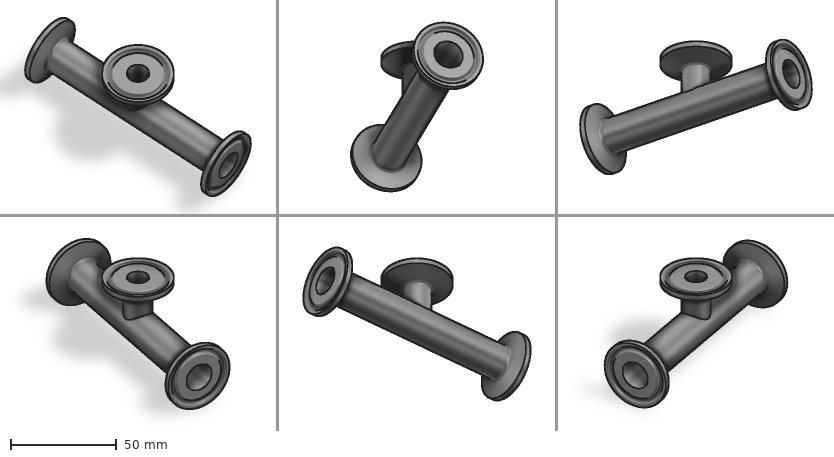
import cadquery as cq
import math

run_length = 110.0
overall_height = 43.1
ferrule_diameter = 34.0
ferrule_radius = ferrule_diameter / 2
branch_height = overall_height - ferrule_radius

run_outer_diameter = 17.3
run_bore_diameter = 14.0
branch_outer_diameter = 13.8
branch_bore_diameter = 10.5

rim_thickness = 2.9
clamp_angle = math.radians(20)
neck_fillet = 2.0

groove_center_radius = 13.8
groove_half_width = 1.92
groove_depth = 1.5
groove_lip_radius = 0.8


def ferruled_tube(length, tube_diameter):
    """Solid tube along +Z that starts with a clamp ferrule at Z = 0."""
    tube_radius = tube_diameter / 2

    cone_end_radius = tube_radius + neck_fillet * (1 - math.sin(clamp_angle))
    cone_end = rim_thickness + (ferrule_radius - cone_end_radius) * math.tan(clamp_angle)
    neck_end = cone_end + neck_fillet * math.cos(clamp_angle)
    middle_angle = (math.pi / 2 + clamp_angle) / 2
    neck_middle = (
        tube_radius + neck_fillet * (1 - math.sin(middle_angle)),
        neck_end - neck_fillet * math.cos(middle_angle),
    )
    return (
        cq.Workplane("XZ")
        .lineTo(ferrule_radius, 0)
        .lineTo(ferrule_radius, rim_thickness)
        .lineTo(cone_end_radius, cone_end)
        .threePointArc(neck_middle, (tube_radius, neck_end))
        .lineTo(tube_radius, length)
        .lineTo(0, length)
        .close()
        .revolve(360, (0, 0, 0), (0, 1, 0))
    )


def gasket_groove():
    """Ring cutter: a round-bottomed groove with rounded lips, in the face Z = 0."""
    arc_center_distance = (groove_half_width**2 + groove_depth**2) / (2 * groove_depth)
    bottom_radius = arc_center_distance - groove_lip_radius
    lip_angle = math.asin(groove_half_width / arc_center_distance)
    tangent_offset = bottom_radius * math.sin(lip_angle)
    tangent_depth = groove_lip_radius * (1 - math.cos(lip_angle))
    lip_middle_offset = groove_half_width - groove_lip_radius * math.sin(lip_angle / 2)
    lip_middle_depth = groove_lip_radius * (1 - math.cos(lip_angle / 2))

    center = groove_center_radius
    return (
        cq.Workplane("XZ")
        .moveTo(center - groove_half_width, 0)
        .threePointArc(
            (center - lip_middle_offset, lip_middle_depth),
            (center - tangent_offset, tangent_depth),
        )
        .threePointArc((center, groove_depth), (center + tangent_offset, tangent_depth))
        .threePointArc(
            (center + lip_middle_offset, lip_middle_depth),
            (center + groove_half_width, 0),
        )
        .close()
        .revolve(360, (0, 0, 0), (0, 1, 0))
    )


def place_on_left(shape):
    """Turn a shape built along +Z to run inward from the -X end."""
    return shape.rotate((0, 0, 0), (0, 1, 0), 90).translate((-run_length / 2, 0, 0))


def place_on_right(shape):
    """Turn a shape built along +Z to run inward from the +X end."""
    return shape.rotate((0, 0, 0), (0, 1, 0), -90).translate((run_length / 2, 0, 0))


def place_on_branch(shape):
    """Turn a shape built along +Z to run down from the branch end."""
    return shape.rotate((0, 0, 0), (1, 0, 0), 180).translate((0, 0, branch_height))


half_run = ferruled_tube(run_length / 2, run_outer_diameter)
branch = ferruled_tube(branch_height, branch_outer_diameter)
body = place_on_left(half_run).union(place_on_right(half_run)).union(place_on_branch(branch))

run_bore = cq.Workplane("YZ").circle(run_bore_diameter / 2).extrude(run_length / 2, both=True)
branch_bore = cq.Workplane("XY").circle(branch_bore_diameter / 2).extrude(branch_height)
body = body.cut(run_bore).cut(branch_bore)

for place in (place_on_left, place_on_right, place_on_branch):
    body = body.cut(place(gasket_groove()))

result = body